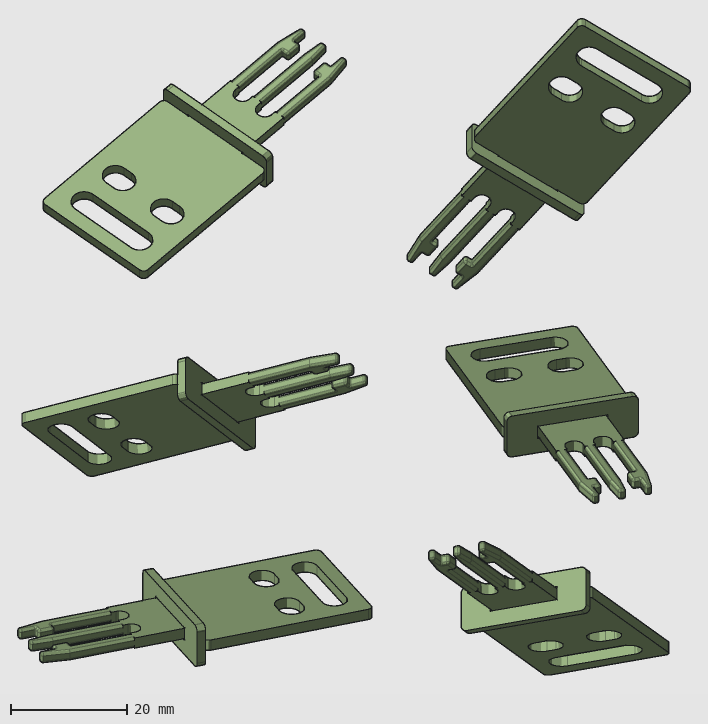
import cadquery as cq

thickness = 2.0
handle_width = 24.0
handle_length = 31.4
corner_radius = 1.0

collar_height = 8.0
collar_depth = 1.6
collar_clearance = 0.2

tongue_width = 12.4
tongue_length = 27.9
prong_width = 2.0
gap_depth = 19.6
rounded_length = 17.1
edge_radius = 0.5
root_radius = 0.1

outer_taper_length = 5.0
outer_taper_depth = 0.85
middle_taper_length = 4.0
middle_taper_depth = 0.35
tip_corner_radius = 0.4

hook_reach = 1.4
hook_width = 3.1
hook_setback = 2.9

slot_height = 4.5
long_slot_length = 17.4
long_slot_from_end = 5.0
short_slot_length = 6.2
short_slots_from_end = 13.0

half_tongue = tongue_width / 2
half_prong = prong_width / 2
outer_prong_inner_x = half_tongue - prong_width
gap_width = outer_prong_inner_x - half_prong
gap_center_x = (outer_prong_inner_x + half_prong) / 2
gap_center_y = tongue_length - gap_depth + gap_width / 2
rounded_start_y = tongue_length - rounded_length
short_slot_x = (long_slot_length - short_slot_length) / 2


def extrude_centered(outline):
    """Extrude an XY outline to the sheet thickness, centred on Z = 0."""
    return outline.extrude(thickness / 2, both=True)


def make_handle():
    """Rounded rectangular grip with one long and two short slots."""
    handle = extrude_centered(
        cq.Workplane("XY").center(0, -handle_length / 2).rect(handle_width, handle_length)
    )
    handle = handle.edges("|Z").fillet(corner_radius)
    long_slot_y = long_slot_from_end - handle_length
    short_slots_y = short_slots_from_end - handle_length
    long_slot = cq.Workplane("XY").center(0, long_slot_y).slot2D(long_slot_length, slot_height)
    short_slots = (
        cq.Workplane("XY")
        .pushPoints([(-short_slot_x, short_slots_y), (short_slot_x, short_slots_y)])
        .slot2D(short_slot_length, slot_height)
    )
    return handle.cut(extrude_centered(long_slot)).cut(extrude_centered(short_slots))


def make_tongue_root():
    """Square-edged part of the tongue, with the round bottoms of the two gaps."""
    root = extrude_centered(
        cq.Workplane("XY").center(0, rounded_start_y / 2).rect(tongue_width, rounded_start_y)
    )
    for side in (-1, 1):
        left = side * gap_center_x - gap_width / 2
        right = side * gap_center_x + gap_width / 2
        gap = (
            cq.Workplane("XY")
            .moveTo(left, rounded_start_y)
            .lineTo(left, gap_center_y)
            .threePointArc((side * gap_center_x, gap_center_y - gap_width / 2), (right, gap_center_y))
            .lineTo(right, rounded_start_y)
            .close()
        )
        root = root.cut(extrude_centered(gap))
    return root


def round_upright_edges(prong, corners, radius):
    """Round the Z-parallel edges standing at the given XY corners."""
    upright = [
        prong.edges(cq.selectors.NearestToPointSelector((x, y, 0))).val() for x, y in corners
    ]
    return prong.newObject(upright).fillet(radius)


def round_face_edges(prong):
    """Round the edges of both flat faces, leaving the flat end at the root sharp."""
    return prong.faces("|Z").edges("not(<Y)").fillet(edge_radius)


def make_middle_prong():
    """Straight prong tapering on both sides to its tip."""
    tip_half = half_prong - middle_taper_depth
    taper_y = tongue_length - middle_taper_length
    outline = cq.Workplane("XY").polyline([
        (-half_prong, rounded_start_y),
        (half_prong, rounded_start_y),
        (half_prong, taper_y),
        (tip_half, tongue_length),
        (-tip_half, tongue_length),
        (-half_prong, taper_y),
    ]).close()
    prong = extrude_centered(outline)
    prong = round_upright_edges(
        prong, [(-tip_half, tongue_length), (tip_half, tongue_length)], tip_corner_radius
    )
    return round_face_edges(prong)


def make_right_prong():
    """Outer prong, tapered outside, with a latch hook facing the middle prong."""
    inner_x = outer_prong_inner_x
    hook_x = inner_x - hook_reach
    hook_top_y = tongue_length - hook_setback
    hook_bottom_y = hook_top_y - hook_width
    tip_outer_x = half_tongue - outer_taper_depth
    prong = extrude_centered(cq.Workplane("XY").polyline([
        (inner_x, rounded_start_y),
        (half_tongue, rounded_start_y),
        (half_tongue, tongue_length - outer_taper_length),
        (tip_outer_x, tongue_length),
        (inner_x, tongue_length),
        (inner_x, hook_top_y),
        (hook_x, hook_top_y),
        (hook_x, hook_bottom_y),
        (inner_x, hook_bottom_y),
    ]).close())

    hook_roots = [(inner_x, hook_top_y), (inner_x, hook_bottom_y)]
    hook_corners = [(hook_x, hook_top_y), (hook_x, hook_bottom_y)]
    tip_corners = [(inner_x, tongue_length), (tip_outer_x, tongue_length)]
    prong = round_upright_edges(prong, hook_roots, root_radius)
    prong = round_upright_edges(prong, hook_corners, edge_radius)
    prong = round_upright_edges(prong, tip_corners, tip_corner_radius)
    return round_face_edges(prong)


def make_key():
    """Handle, tongue and three prongs as one solid."""
    right_prong = make_right_prong()
    key = make_handle().union(make_tongue_root()).union(make_middle_prong())
    return key.union(right_prong).union(right_prong.mirror("YZ"))


def make_collar():
    """Rounded stop plate against the shoulder, with an opening for the tongue."""
    collar = cq.Workplane("XY").box(handle_width, collar_depth, collar_height)
    collar = collar.edges("|Y").fillet(corner_radius)
    opening = cq.Workplane("XY").box(
        tongue_width + 2 * collar_clearance,
        collar_depth,
        thickness + 2 * collar_clearance,
    )
    return collar.cut(opening).translate((0, collar_depth / 2, 0))


key = make_key()
collar = make_collar()
result = cq.Compound.makeCompound([key.val(), collar.val()])